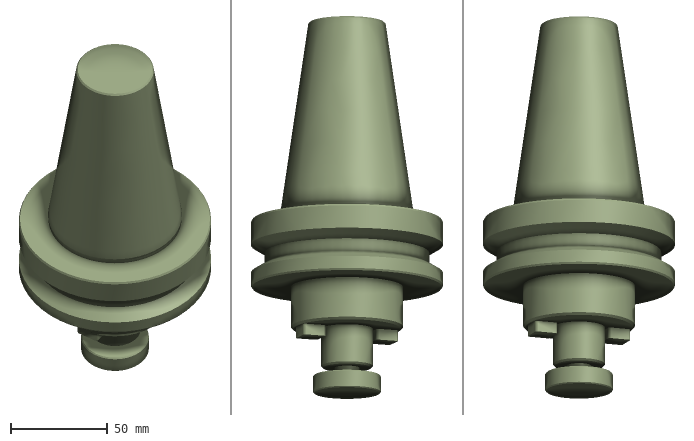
import cadquery as cq

head_top_z = 9.2
pilot_bottom_z = 13.3
body_bottom_z = 33.9
flange_bottom_z = 56.0
flange_top_z = 91.0
gauge_z = 94.0
total_height = 195.8

head_radius = 17.6
screw_radius = 6.5
pilot_radius = 13.5
body_radius = 29.2
flange_radius = 50.03
groove_radius = 42.9
collar_radius = 34.7
gauge_radius = 34.9
taper_end_radius = 20.2

groove_center_z = 70.9
groove_floor_width = 6.3
groove_mouth_width = 14.9

head_chamfer = 0.5
body_chamfer = 1.2
pilot_chamfer = 1.0
flange_chamfer_height = 1.0
flange_chamfer_depth = 0.5
collar_step_height = 1.2
taper_end_chamfer = 0.8

key_width = 12.5
key_height = 5.7
key_inner_y = 14.3
key_outer_y = 26.5
key_chamfer = 0.8


def cylinder(radius, bottom_z, top_z):
    """Upright cylinder centred on the Z axis."""
    return cq.Workplane("XY").workplane(offset=bottom_z).circle(radius).extrude(top_z - bottom_z)


def make_screw():
    """Clamping screw: a chamfered head with a shank reaching into the pilot."""
    head = cylinder(head_radius, 0, head_top_z).faces("<Z or >Z").chamfer(head_chamfer)
    shank = cylinder(screw_radius, 0, body_bottom_z)
    return head.union(shank)


def make_nose():
    """Body below the flange and the pilot below it, both chamfered at the bottom."""
    pilot = cylinder(pilot_radius, pilot_bottom_z, body_bottom_z).faces("<Z").chamfer(pilot_chamfer)
    body = cylinder(body_radius, body_bottom_z, flange_bottom_z).faces("<Z").chamfer(body_chamfer)
    return body.union(pilot)


def make_flange_and_taper():
    """Grooved flange, collar and conical shank, revolved from one half profile."""
    flange_edge_radius = flange_radius - flange_chamfer_depth
    half_mouth = groove_mouth_width / 2
    half_floor = groove_floor_width / 2
    profile = [
        (0, flange_bottom_z),
        (flange_edge_radius, flange_bottom_z),
        (flange_radius, flange_bottom_z + flange_chamfer_height),
        (flange_radius, groove_center_z - half_mouth),
        (groove_radius, groove_center_z - half_floor),
        (groove_radius, groove_center_z + half_floor),
        (flange_radius, groove_center_z + half_mouth),
        (flange_radius, flange_top_z - flange_chamfer_height),
        (flange_edge_radius, flange_top_z),
        (collar_radius, flange_top_z),
        (collar_radius, gauge_z - collar_step_height),
        (gauge_radius, gauge_z),
        (taper_end_radius, total_height - taper_end_chamfer),
        (taper_end_radius - taper_end_chamfer, total_height),
        (0, total_height),
    ]
    return cq.Workplane("XZ").polyline(profile).close().revolve(360, (0, 0, 0), (0, 1, 0))


def make_key(side):
    """Drive key on the -Y (side = -1) or +Y (side = 1) half of the body."""
    key_length = key_outer_y - key_inner_y
    center_y = side * (key_outer_y + key_inner_y) / 2
    return (
        cq.Workplane("XY", origin=(0, center_y, body_bottom_z))
        .rect(key_width, key_length)
        .extrude(-key_height)
        .edges("|Z")
        .chamfer(key_chamfer)
    )


result = make_flange_and_taper().union(make_nose()).union(make_screw())
for side in (-1, 1):
    result = result.union(make_key(side))